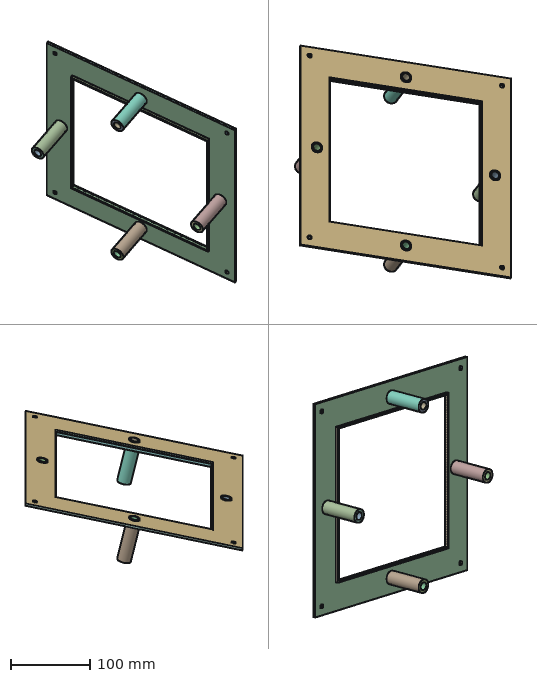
import cadquery as cq

plate_side = 282.0
plate_thickness = 3.5
corner_hole_diameter = 5.4
corner_hole_inset = 12.0

opening_side = 201.3
rim_width = 2.3
rim_height = 3.5

rebate_width = 1.7
rebate_depth = 2.5

overall_depth = 59.8
standoff_diameter = 18.0
standoff_bore_diameter = 10.2
standoff_offset = 119.3
spigot_diameter = 13.8
spigot_hole_diameter = 14.0
spigot_projection = 0.8

spigot_length = plate_thickness + spigot_projection
standoff_length = overall_depth - spigot_length
standoff_centers = [
    (standoff_offset, 0),
    (0, standoff_offset),
    (-standoff_offset, 0),
    (0, -standoff_offset),
]


def xz_plane(y=0):
    """Sketch plane whose local axes are X and Z and whose normal points to -Y."""
    return cq.Workplane("XZ", origin=(0, y, 0))


def make_plate():
    """Plate with a rimmed and rebated window, corner screw holes and standoff holes."""
    rim_side = opening_side + 2 * rim_width
    rebate_side = opening_side + 2 * rebate_width
    hole_spacing = plate_side - 2 * corner_hole_inset

    sheet = xz_plane().rect(plate_side, plate_side).extrude(-plate_thickness)
    rim = xz_plane().rect(rim_side, rim_side).extrude(rim_height)
    window = (
        xz_plane(plate_thickness)
        .rect(opening_side, opening_side)
        .extrude(plate_thickness + rim_height)
    )
    rebate = xz_plane(plate_thickness).rect(rebate_side, rebate_side).extrude(rebate_depth)
    corner_holes = (
        xz_plane()
        .rect(hole_spacing, hole_spacing, forConstruction=True)
        .vertices()
        .circle(corner_hole_diameter / 2)
        .extrude(-plate_thickness)
    )
    spigot_holes = (
        xz_plane()
        .pushPoints(standoff_centers)
        .circle(spigot_hole_diameter / 2)
        .extrude(-plate_thickness)
    )
    return sheet.union(rim).cut(window).cut(rebate).cut(corner_holes).cut(spigot_holes)


def make_standoff(x, z):
    """Tube seated on the plate's front face, bored through along Y."""
    tube = xz_plane().center(x, z).circle(standoff_diameter / 2).extrude(standoff_length)
    spigot = xz_plane().center(x, z).circle(spigot_diameter / 2).extrude(-spigot_length)
    bore = (
        xz_plane(spigot_length)
        .center(x, z)
        .circle(standoff_bore_diameter / 2)
        .extrude(overall_depth)
    )
    return tube.union(spigot).cut(bore)


plate = make_plate()
standoffs = [make_standoff(x, z) for x, z in standoff_centers]

result = cq.Compound.makeCompound([plate.val(), *[standoff.val() for standoff in standoffs]])